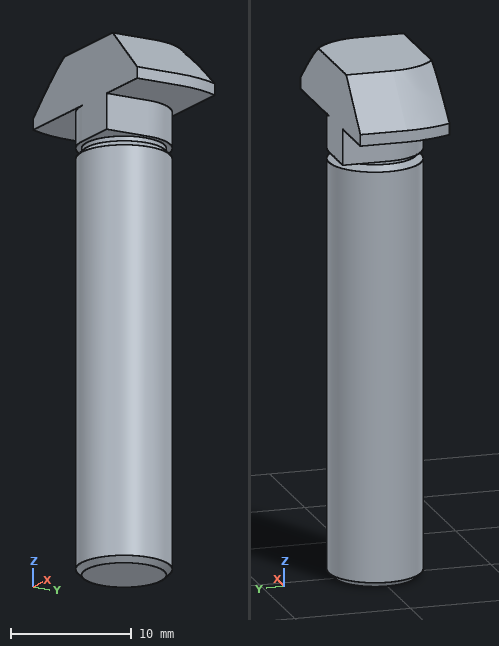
import cadquery as cq

total_length = 45.0
head_length = 18.0
shank_diameter = 8.0

head_height = 5.0
lip_height = 1.0
neck_height = 3.1

undercut_diameter = 7.0
undercut_height = 0.4
chamfer = (shank_diameter - undercut_diameter) / 2

head_radius = head_length / 2
half_width = shank_diameter / 2
head_bottom = total_length - head_height
neck_bottom = head_bottom - neck_height
shank_top = neck_bottom - undercut_height
slope_size = head_height - lip_height
top_half_length = head_radius - slope_size


def half_profile():
    """Half outline of head and neck in the XZ plane, from the axis outwards."""
    return (
        cq.Workplane("XZ")
        .moveTo(0, neck_bottom)
        .lineTo(half_width, neck_bottom)
        .lineTo(half_width, head_bottom)
        .lineTo(head_radius, head_bottom)
        .lineTo(head_radius, head_bottom + lip_height)
        .lineTo(top_half_length, total_length)
        .lineTo(0, total_length)
        .close()
    )


def head_half():
    """The +X half: square on the -Y side, turned about the axis on the +Y side."""
    square_quarter = half_profile().extrude(half_width)
    quarter_limits = cq.Workplane("XY").box(
        head_radius, half_width, total_length, centered=False
    )
    turned_quarter = half_profile().revolve(360, (0, 0, 0), (0, 1, 0)).intersect(quarter_limits)
    return square_quarter.union(turned_quarter)


def shank():
    """Round shank with chamfered ends and a narrower undercut up to the neck."""
    body = cq.Workplane("XY").circle(half_width).extrude(shank_top)
    body = body.faces("<Z or >Z").chamfer(chamfer)
    undercut = (
        cq.Workplane("XY")
        .workplane(offset=shank_top)
        .circle(undercut_diameter / 2)
        .extrude(undercut_height)
    )
    return body.union(undercut)


first_half = head_half()
second_half = first_half.rotate((0, 0, 0), (0, 0, 1), 180)
result = first_half.union(second_half).union(shank())